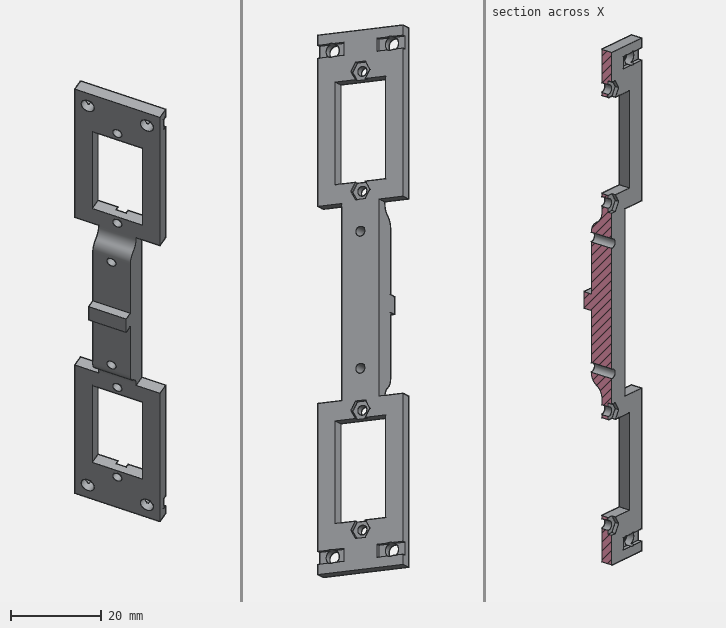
import cadquery as cq
import math

total_length = 123.6
plate_width = 21.0
plate_thickness = 3.0
neck_length = 45.1
neck_width = 9.3
neck_depth = 2 * plate_thickness
overall_depth = 8.0
rib_height = 4.1

shoulder_start = 22.2
shoulder_length = 5.2

window_width = 12.4
window_height = 23.5
window_center_z = 38.8
small_hole_pitch = 27.5
corner_hole_x = 7.3
corner_hole_z = 58.0

small_hole_diameter = 2.2
corner_hole_diameter = 3.2
nut_corner_diameter = 4.7
slot_height = 3.0
recess_depth = 1.0
neck_hole_z = 15.7

plate_length = (total_length - neck_length) / 2
plate_center_z = (total_length - plate_length) / 2
slot_length = 2 * (plate_width / 2 - corner_hole_x)


def block(width, depth, height, center_z):
    """Box centred on X, reaching from the back face forward to the given depth."""
    return cq.Workplane("XY").box(width, depth, height).translate((0, -depth / 2, center_z))


def bores(points, diameter, depth):
    """Cylinders running from the back face forward, at (x, z) points."""
    return (
        cq.Workplane("XZ")
        .pushPoints(points)
        .circle(diameter / 2)
        .extrude(depth)
    )


def nut_pockets(points):
    """Hexagons with two corners along X, sunk into the back face at (x, z) points."""
    return (
        cq.Workplane("XZ")
        .pushPoints(points)
        .polygon(6, nut_corner_diameter)
        .extrude(recess_depth)
    )


def edge_slots(points):
    """Back slots centred on the corner holes and open at the plate's side edges."""
    return (
        cq.Workplane("XZ")
        .pushPoints(points)
        .rect(slot_length, slot_height)
        .extrude(recess_depth)
    )


def make_neck():
    """Bar with its side profile in YZ, including the curved shoulders."""
    arc_rise = (neck_depth - plate_thickness) / 2
    arc_run = shoulder_length / 2
    radius = (arc_rise**2 + arc_run**2) / (2 * arc_rise)
    half_turn = math.asin(arc_run / radius) / 2
    bow_rise = radius * (1 - math.cos(half_turn))
    bow_run = radius * math.sin(half_turn)

    shoulder_middle = shoulder_start - arc_run
    shoulder_end = shoulder_start - shoulder_length
    middle_depth = plate_thickness + arc_rise
    hollow = (-(plate_thickness + bow_rise), shoulder_start - bow_run)
    crown = (-(neck_depth - bow_rise), shoulder_end + bow_run)

    half_profile = (
        cq.Workplane("YZ")
        .moveTo(0, 0)
        .lineTo(0, neck_length / 2)
        .lineTo(-plate_thickness, neck_length / 2)
        .lineTo(-plate_thickness, shoulder_start)
        .threePointArc(hollow, (-middle_depth, shoulder_middle))
        .threePointArc(crown, (-neck_depth, shoulder_end))
        .lineTo(-neck_depth, 0)
        .close()
    )
    half_neck = half_profile.extrude(neck_width / 2, both=True)
    return half_neck.union(half_neck.mirror("XY"))


def make_end_plate(side):
    """Windowed plate at the upper (side = 1) or lower (side = -1) end."""
    plate = block(plate_width, plate_thickness, plate_length, side * plate_center_z)
    plate = plate.cut(block(window_width, plate_thickness, window_height, side * window_center_z))

    small_points = [
        (0, side * (window_center_z + offset))
        for offset in (-small_hole_pitch / 2, small_hole_pitch / 2)
    ]
    corner_points = [(x, side * corner_hole_z) for x in (-corner_hole_x, corner_hole_x)]
    plate = plate.cut(bores(small_points, small_hole_diameter, plate_thickness))
    plate = plate.cut(bores(corner_points, corner_hole_diameter, plate_thickness))
    return plate.cut(nut_pockets(small_points)).cut(edge_slots(corner_points))


neck = make_neck().union(block(neck_width, overall_depth, rib_height, 0))
neck_points = [(0, -neck_hole_z), (0, neck_hole_z)]
neck = neck.cut(bores(neck_points, small_hole_diameter, neck_depth))

result = neck.union(make_end_plate(1)).union(make_end_plate(-1))